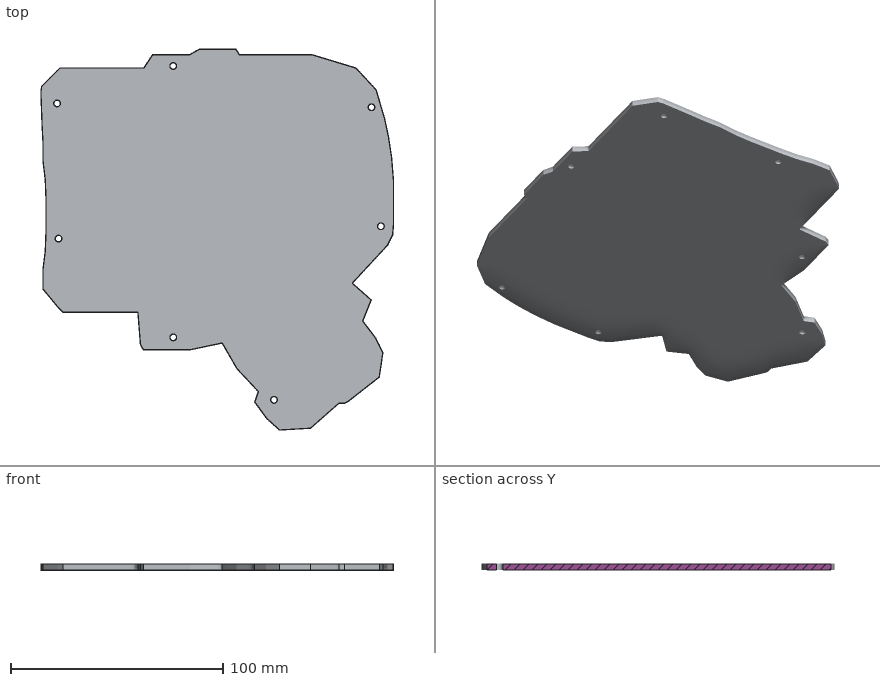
import cadquery as cq

LENGTH_X = 166.13
LENGTH_Y = 179.32
THICKNESS = 3.0
HOLE_DIAMETER = 3.0

LEFT = -LENGTH_X / 2
RIGHT = LENGTH_X / 2
TOP = LENGTH_Y / 2
BOTTOM = -LENGTH_Y / 2
LEFT_WAIST = -80.7
UPPER_LEFT_EDGE = 80.8
UPPER_EDGE = 87.1
LOWER_LEFT_EDGE = -34.2
LOWER_TAB_EDGE = -51.9
LOBE_STEP = -77.0

left_side = [
    (-82.7, 72.1),
    (LEFT, 69.5),
    (-82.5, 53.8),
    (-82.1, 46.2),
    (-82.1, 37.4),
    (-81.0, 28.0),
    (LEFT_WAIST, 20.4),
    (LEFT_WAIST, 2.8),
    (-81.0, -5.4),
    (-82.1, -14.2),
    (-82.1, -23.2),
]
lower_left_corner_and_tab = [
    (-75.0, -31.8),
    (-72.7, LOWER_LEFT_EDGE),
    (-37.4, LOWER_LEFT_EDGE),
    (-36.2, -49.4),
    (-34.8, LOWER_TAB_EDGE),
    (-12.7, LOWER_TAB_EDGE),
    (2.3, -48.7),
]
lower_lobe = [
    (9.2, -60.7),
    (19.3, -71.5),
    (17.6, -76.4),
    (23.1, -84.0),
    (29.3, BOTTOM),
    (43.9, -88.8),
    (57.3, LOBE_STEP),
    (60.0, LOBE_STEP),
    (61.7, -76.1),
    (76.3, -64.7),
    (78.0, -53.2),
    (74.5, -46.2),
    (68.5, -38.3),
    (72.5, -28.4),
    (63.6, -20.5),
]
right_side = [
    (80.2, -2.6),
    (82.6, 2.2),
    (RIGHT, 7.9),
    (RIGHT, 27.0),
    (82.1, 38.8),
    (80.6, 48.6),
    (78.8, 57.0),
    (74.8, 70.5),
]
upper_side_and_tab = [
    (65.3, 80.8),
    (44.5, UPPER_EDGE),
    (10.4, UPPER_EDGE),
    (8.8, TOP),
    (-8.4, TOP),
    (-13.0, UPPER_EDGE),
    (-30.4, UPPER_EDGE),
    (-34.6, UPPER_LEFT_EDGE),
    (-74.0, UPPER_LEFT_EDGE),
]

HOLE_CENTRES = [
    (-75.4, 64.1),
    (-20.7, 81.7),
    (72.6, 62.3),
    (77.0, 6.3),
    (-74.7, 0.5),
    (-20.7, -46.0),
    (26.7, -75.4),
]


def make_plate():
    """Flat plate bounded by the straight-sided outline, resting on Z = 0."""
    outline = (
        left_side
        + lower_left_corner_and_tab
        + lower_lobe
        + right_side
        + upper_side_and_tab
    )
    return cq.Workplane("XY").polyline(outline).close().extrude(THICKNESS)


def drill_holes(plate):
    """Drill the mounting holes through the full thickness."""
    drills = (
        cq.Workplane("XY")
        .pushPoints(HOLE_CENTRES)
        .circle(HOLE_DIAMETER / 2)
        .extrude(THICKNESS)
    )
    return plate.cut(drills)


result = drill_holes(make_plate())